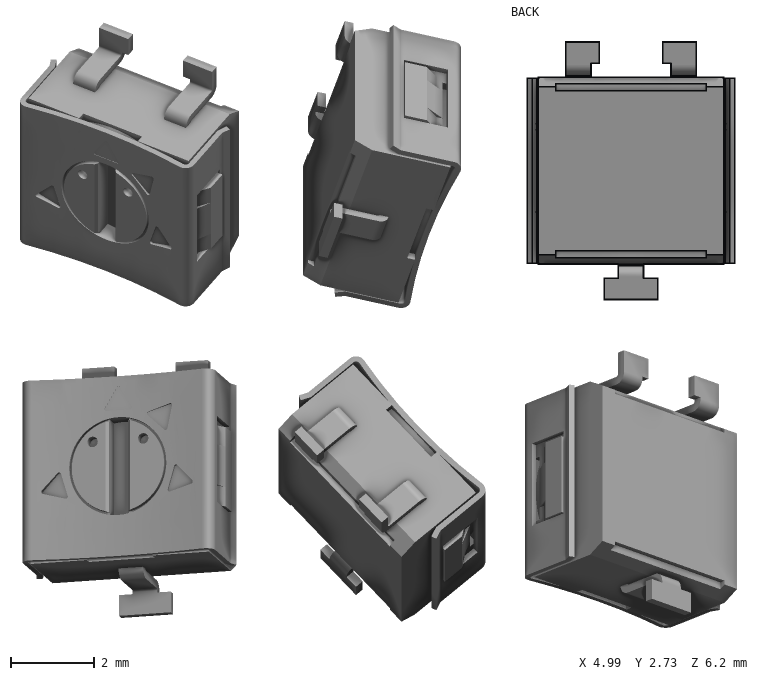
import cadquery as cq
import math


total_height = 6.2
half_height = total_height / 2
mount_y = 1.365

body_half_width = 2.23
body_half_height = 2.25
body_front_y = -1.09
body_back_y = 1.3
bevel_front_y = 0.87
bevel_drop = 0.23
back_notch_half_width = 1.815
back_notch_wall_y = 1.155
back_notch_floor_z = 1.92

tab_outer_x = 2.47
tab_half_height = 0.985
tab_back_y = 0.12
tab_slope_y = -0.435
tab_end_y = -0.75
tab_rib_half_height = 0.5
tab_rib_end_y = -0.9

pocket_radius = 2.195
pocket_opening_half_width = 0.82
pocket_floor_y = -0.9
disc_radius = 2.16
disc_front_y = -1.11
hub_radius = 1.155
hub_front_y = -1.245
slot_chamfer = 0.06
slot_width = 0.485
slot_depth = 0.53
pin_hole_radius = 0.13
pin_hole_offset = 0.63
pin_hole_depth = 0.25

cover_thickness = 0.135
cover_half_height = 2.23
cover_half_width = 2.405
cover_front_y = -mount_y
cover_middle_y = -1.2
cover_arc_radius = 14.26
cover_bend_radius = 0.23
cover_hole_radius = 1.215
flare_y = 0.2
flare_angle = 23.0
flare_length = 0.235
window_back_y = 0.12
window_front_y = -0.985
window_top_z = 1.135
window_bottom_z = -1.005

arrow_base_radius = 1.39
arrow_tip_radius = 2.02
arrow_half_base = 0.38
arrow_corner_radius = 0.05
arrow_floor_y = -1.195
arrow_angles = (90.0, 47.0, -16.4, 196.4)

lead_width = 0.615
foot_thickness = 0.22
arm_inner_z = 2.29
arm_outer_z = 2.485
lead_end_y = -0.1
lead_root_z = 2.17
lead_outer_bend = 0.255
lead_inner_bend = 0.05
foot_shoulder_z = 2.585
upper_lead_outer_x = 1.575
upper_foot_width = 0.81
lower_foot_width = 1.295


def block(x_range, y_range, z_range):
    """Axis-aligned block between two limits on each axis."""
    limits = (x_range, y_range, z_range)
    sizes = [high - low for low, high in limits]
    corner = [low for low, high in limits]
    return cq.Workplane("XY").box(*sizes, centered=False).translate(tuple(corner))


def round_bar(radius, front_y, back_y, x=0.0, z=0.0):
    """Cylinder along Y."""
    face = cq.Workplane("XZ", origin=(x, back_y, z))
    return face.circle(radius).extrude(back_y - front_y)


def round_edge(solid, edge_middle, radius):
    """Fillet the edge whose middle is nearest to the given point."""
    edge = cq.selectors.NearestToPointSelector(edge_middle)
    return solid.edges(edge).fillet(radius)


def make_body():
    bevel_z = body_half_height - bevel_drop
    body = (
        cq.Workplane("YZ", origin=(-body_half_width, 0, 0))
        .moveTo(body_front_y, -body_half_height)
        .lineTo(bevel_front_y, -body_half_height)
        .lineTo(body_back_y, -bevel_z)
        .lineTo(body_back_y, bevel_z)
        .lineTo(bevel_front_y, body_half_height)
        .lineTo(body_front_y, body_half_height)
        .close()
        .extrude(2 * body_half_width)
    )
    back_notch = block(
        (-back_notch_half_width, back_notch_half_width),
        (back_notch_wall_y, body_back_y),
        (back_notch_floor_z, body_half_height),
    )
    pocket = round_bar(pocket_radius, body_front_y, pocket_floor_y)
    opening_span = (-pocket_opening_half_width, pocket_opening_half_width)
    opening_depth = (body_front_y, pocket_floor_y)
    upright_opening = block(opening_span, opening_depth, (-body_half_height, body_half_height))
    cross_opening = block((-body_half_width, body_half_width), opening_depth, opening_span)
    pocket = pocket.union(upright_opening).union(cross_opening)
    return body.cut(back_notch).cut(back_notch.mirror("XY")).cut(pocket)


def tab_wedge(half_span, end_y):
    """Wedge pair across the body whose outer face slopes down to the body side."""
    return (
        cq.Workplane("XY", origin=(0, 0, -half_span))
        .moveTo(-tab_outer_x, tab_back_y)
        .lineTo(tab_outer_x, tab_back_y)
        .lineTo(tab_outer_x, tab_slope_y)
        .lineTo(body_half_width, end_y)
        .lineTo(-body_half_width, end_y)
        .lineTo(-tab_outer_x, tab_slope_y)
        .close()
        .extrude(2 * half_span)
    )


def make_rotor():
    disc = round_bar(disc_radius, disc_front_y, pocket_floor_y)
    hub = round_bar(hub_radius, hub_front_y, pocket_floor_y)
    return disc.union(hub)


def make_rotor_cuts():
    """Screwdriver slot with chamfered mouth, and the two pin holes."""
    half_slot = slot_width / 2
    half_mouth = half_slot + slot_chamfer
    slot_floor_y = hub_front_y + slot_depth
    slot = (
        cq.Workplane("XY", origin=(0, 0, -cover_hole_radius))
        .moveTo(-half_slot, slot_floor_y)
        .lineTo(half_slot, slot_floor_y)
        .lineTo(half_slot, hub_front_y + slot_chamfer)
        .lineTo(half_mouth, hub_front_y)
        .lineTo(-half_mouth, hub_front_y)
        .lineTo(-half_slot, hub_front_y + slot_chamfer)
        .close()
        .extrude(2 * cover_hole_radius)
    )
    cuts = slot.intersect(round_bar(cover_hole_radius, hub_front_y, slot_floor_y))
    for x in (-pin_hole_offset, pin_hole_offset):
        hole_floor_y = hub_front_y + pin_hole_depth
        cuts = cuts.union(round_bar(pin_hole_radius, hub_front_y, hole_floor_y, x, pin_hole_offset))
    return cuts


def arc_sag(half_chord, radius):
    return radius - math.sqrt(radius**2 - half_chord**2)


def arrow(angle):
    """Rounded triangle pointing away from the rotor axis, with a flat floor in the cover."""
    return (
        cq.Workplane("XZ", origin=(0, arrow_floor_y, 0))
        .moveTo(arrow_base_radius, -arrow_half_base)
        .lineTo(arrow_tip_radius, 0)
        .lineTo(arrow_base_radius, arrow_half_base)
        .close()
        .extrude(arrow_floor_y - cover_front_y)
        .edges("|Y")
        .fillet(arrow_corner_radius)
        .rotate((0, 0, 0), (0, 1, 0), -angle)
    )


def make_cover():
    inner_half_width = cover_half_width - cover_thickness
    inner_middle_y = cover_middle_y + cover_thickness
    inner_arc_radius = cover_arc_radius - cover_thickness
    outer_corner_y = cover_middle_y - arc_sag(cover_half_width, cover_arc_radius)
    inner_corner_y = inner_middle_y - arc_sag(inner_half_width, inner_arc_radius)

    flare = math.radians(flare_angle)
    inner_flare_y = flare_y + cover_thickness * math.tan(flare / 2)
    tip_x = cover_half_width + flare_length * math.sin(flare)
    tip_y = flare_y + flare_length * math.cos(flare)
    inner_tip_x = tip_x - cover_thickness * math.cos(flare)
    inner_tip_y = tip_y + cover_thickness * math.sin(flare)

    strip = (
        cq.Workplane("XY", origin=(0, 0, -cover_half_height))
        .moveTo(-cover_half_width, outer_corner_y)
        .threePointArc((0, cover_middle_y), (cover_half_width, outer_corner_y))
        .lineTo(cover_half_width, flare_y)
        .lineTo(tip_x, tip_y)
        .lineTo(inner_tip_x, inner_tip_y)
        .lineTo(inner_half_width, inner_flare_y)
        .lineTo(inner_half_width, inner_corner_y)
        .threePointArc((0, inner_middle_y), (-inner_half_width, inner_corner_y))
        .lineTo(-inner_half_width, inner_flare_y)
        .lineTo(-inner_tip_x, inner_tip_y)
        .lineTo(-tip_x, tip_y)
        .lineTo(-cover_half_width, flare_y)
        .close()
        .extrude(2 * cover_half_height)
    )
    for x, y, radius in (
        (cover_half_width, outer_corner_y, cover_bend_radius),
        (inner_half_width, inner_corner_y, cover_bend_radius - cover_thickness),
    ):
        for side in (-1, 1):
            strip = round_edge(strip, (side * x, y, 0), radius)

    windows = block(
        (-cover_half_width, cover_half_width),
        (window_front_y, window_back_y),
        (window_bottom_z, window_top_z),
    )
    rotor_hole = round_bar(cover_hole_radius, cover_front_y, pocket_floor_y)
    cover = strip.cut(windows).cut(rotor_hole)
    for angle in arrow_angles:
        cover = cover.cut(arrow(angle))
    return cover


def make_lead(arm_x, foot_x):
    """Upper lead: arm over the body top and a wider foot, given by their X ranges."""
    foot_front_y = mount_y - foot_thickness
    end_back_y = lead_end_y + foot_thickness
    arm = (
        cq.Workplane("YZ", origin=(arm_x[0], 0, 0))
        .moveTo(mount_y, half_height)
        .lineTo(mount_y, arm_inner_z)
        .lineTo(end_back_y, arm_inner_z)
        .lineTo(end_back_y, lead_root_z)
        .lineTo(lead_end_y, lead_root_z)
        .lineTo(lead_end_y, arm_outer_z)
        .lineTo(foot_front_y, arm_outer_z)
        .lineTo(foot_front_y, half_height)
        .close()
        .extrude(arm_x[1] - arm_x[0])
    )
    arm_middle_x = sum(arm_x) / 2
    for y, z, radius in (
        (mount_y, arm_inner_z, lead_outer_bend),
        (foot_front_y, arm_outer_z, lead_inner_bend),
        (lead_end_y, arm_outer_z, lead_outer_bend),
        (end_back_y, arm_inner_z, lead_inner_bend),
    ):
        arm = round_edge(arm, (arm_middle_x, y, z), radius)
    foot = block(foot_x, (foot_front_y, mount_y), (foot_shoulder_z, half_height))
    return arm.union(foot)


left_edge = -upper_lead_outer_x
left_lead = make_lead(
    (left_edge, left_edge + lead_width),
    (left_edge, left_edge + upper_foot_width),
)
lower_lead = make_lead(
    (-lead_width / 2, lead_width / 2),
    (-lower_foot_width / 2, lower_foot_width / 2),
).mirror("XY")

result = (
    make_body()
    .union(tab_wedge(tab_half_height, tab_end_y))
    .union(tab_wedge(tab_rib_half_height, tab_rib_end_y))
    .union(make_cover())
    .union(make_rotor())
    .cut(make_rotor_cuts())
    .union(left_lead)
    .union(left_lead.mirror("YZ"))
    .union(lower_lead)
)